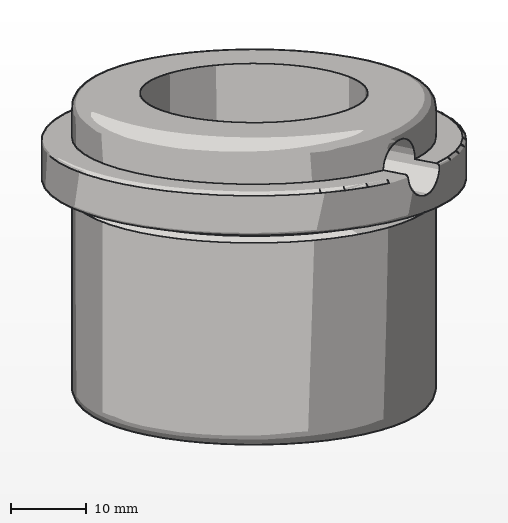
import cadquery as cq

flange_diameter = 56.0
body_diameter = 48.0
bore_diameter = 30.0
total_height = 42.0

flange_bottom = 30.0
flange_thickness = 6.0
flange_top = flange_bottom + flange_thickness

groove_depth = 0.7
groove_height = 2.0
groove_bottom = flange_bottom - groove_height

body_edge_radius = 2.0
flange_edge_radius = 0.5

radial_hole_diameter = 7.0


def cylinder(diameter, bottom, top):
    """Cylinder on the Z axis between two heights."""
    return cq.Workplane("XY").workplane(offset=bottom).circle(diameter / 2).extrude(top - bottom)


body = cylinder(body_diameter, 0, total_height).edges().fillet(body_edge_radius)

body_radius = body_diameter / 2
groove_radius = body_radius - groove_depth
groove = (
    cq.Workplane("XZ")
    .moveTo(body_radius, groove_bottom)
    .lineTo(groove_radius, groove_bottom + groove_depth)
    .lineTo(groove_radius, flange_bottom)
    .lineTo(body_radius, flange_bottom)
    .close()
    .revolve(360, (0, 0, 0), (0, 1, 0))
)

flange = cylinder(flange_diameter, flange_bottom, flange_top).edges().fillet(flange_edge_radius)

bore = cylinder(bore_diameter, 0, total_height)
radial_hole = (
    cq.Workplane("YZ")
    .center(0, flange_top)
    .circle(radial_hole_diameter / 2)
    .extrude(flange_diameter / 2)
)

result = body.cut(groove).union(flange).cut(bore).cut(radial_hole)